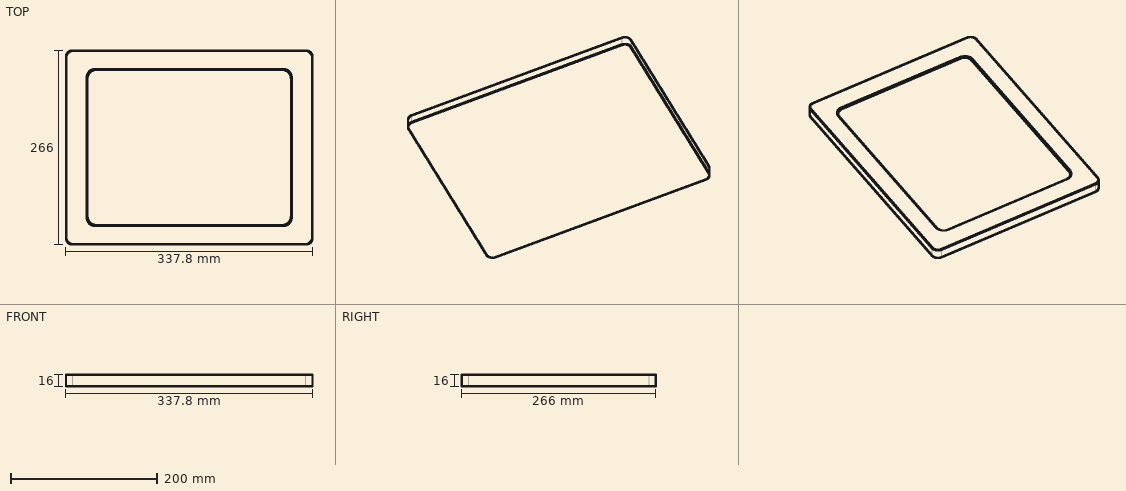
import cadquery as cq
import math

length = 337.8
width = 266.0
thickness = 16.0
corner_radius = 9.5
edge_chamfer = 0.7

rim_width_x = 28.5
rim_width_y = 25.5
recess_length = length - 2 * rim_width_x
recess_width = width - 2 * rim_width_y
recess_corner_radius = 12.5
recess_depth = 1.52
wall_run = recess_depth


def make_plate():
    """Rectangular plate with rounded corners and chamfered top and bottom outlines."""
    plate = cq.Workplane("XY").box(length, width, thickness, centered=(True, True, False))
    plate = plate.edges("|Z").fillet(corner_radius)
    return plate.faces("<Z or >Z").edges().chamfer(edge_chamfer)


def make_recess():
    """Recess volume that narrows by wall_run on every side as it goes down."""
    wall_angle = math.degrees(math.atan2(wall_run, recess_depth))
    outline = cq.Sketch().rect(recess_length, recess_width).vertices().fillet(recess_corner_radius)
    mouth = cq.Workplane("XY").workplane(offset=thickness).placeSketch(outline)
    return mouth.extrude(-recess_depth, taper=wall_angle)


result = make_plate().cut(make_recess())